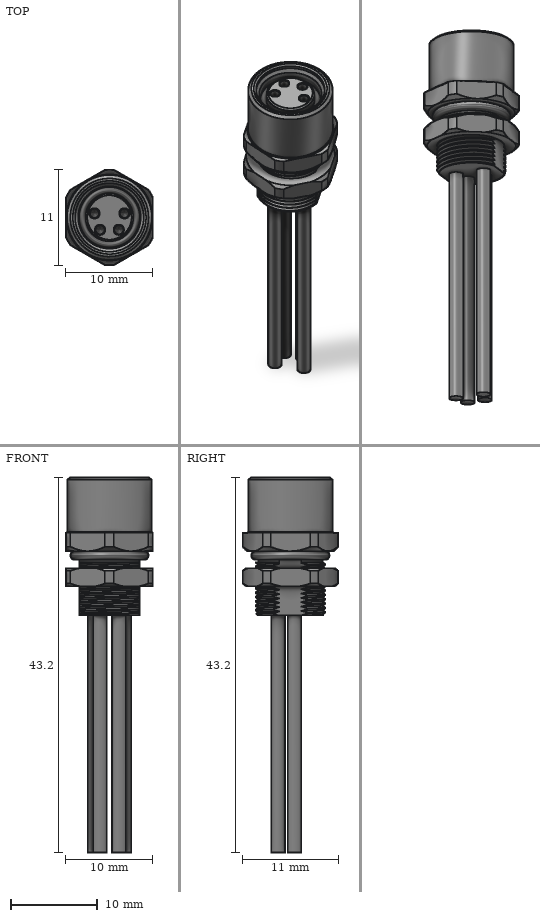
import cadquery as cq
import math


hex_across_flats = 10.0
hex_corner_diameter = 11.0
hex_height = 2.1
flange_end_radius = 5.0
flange_bevel_height = 0.5
nut_end_radius = 5.1
nut_bevel_height = 0.33
nut_top_z = -1.95

body_radius = 4.88
body_height = 6.4
overall_height = 43.2
top_z = hex_height + body_height
rim_outer_radius = 4.5
rim_bevel_height = 0.3
foot_radius = 4.97
foot_bevel_height = 0.12

mouth_radius = 4.22
bore_radius = 3.95
entry_bevel_depth = 0.15
bore_depth = 0.48
throat_radius = 3.6
throat_depth = 0.83
gland_radius = 3.5
gland_wall_depth = 1.25
gland_depth = 1.9

insert_radius = 2.75
insert_recess = 0.7
insert_bevel = 0.2
inner_seal_tube_radius = (gland_radius - insert_radius) / 2
inner_seal_radius = (gland_radius + insert_radius) / 2
contact_hole_radius = 0.52
contact_hole_bevel = 0.08
contact_hole_depth = 3.0
contact_hole_tip_angle = 118.0

panel_seal_tube_radius = 0.5
panel_seal_outer_radius = 4.5

thread_radius = 4.0
thread_pitch = 0.5
thread_depth = 0.3
thread_root_radius = thread_radius - thread_depth
groove_width = 0.42
groove_overshoot = 0.1
groove_arc_angle = 164
thread_bottom_z = -7.4
thread_end_bevel = 0.25
thread_flat_distance = 6.95
relief_height = 0.3
nut_bore_radius = 3.8

wire_radius = 0.8
wire_bottom_z = top_z - overall_height
wire_embedding = 1.0
contact_points = [(side * x, y) for x, y in ((1.72, 0.47), (1.08, -1.42)) for side in (-1, 1)]


def cylinder(radius, bottom_z, upper_z):
    return cq.Workplane("XY").workplane(offset=bottom_z).circle(radius).extrude(upper_z - bottom_z)


def revolve_profile(points):
    """Revolve a closed outline of (radius, z) points around the Z axis."""
    return cq.Workplane("XZ").polyline(points).close().revolve(360, (0, 0, 0), (0, 1, 0))


def seal_ring(ring_radius, tube_radius, z):
    profile = cq.Workplane("XZ").center(ring_radius, z).circle(tube_radius)
    return profile.revolve(360, (-ring_radius, 0, 0), (-ring_radius, 1, 0))


def hexagon(bottom_z, end_radius, bevel_height, bevel_top):
    """Hexagon with flats facing X, turned corners and turned end bevels."""
    corner_radius = hex_corner_diameter / 2
    upper_z = bottom_z + hex_height
    prism = (
        cq.Workplane("XY").workplane(offset=bottom_z)
        .polygon(6, hex_across_flats / math.cos(math.pi / 6))
        .extrude(hex_height)
        .rotate((0, 0, 0), (0, 0, 1), 30)
    )
    upper_edge = [(corner_radius, upper_z)]
    if bevel_top:
        upper_edge = [(corner_radius, upper_z - bevel_height), (end_radius, upper_z)]
    envelope = revolve_profile([
        (0, bottom_z),
        (end_radius, bottom_z),
        (corner_radius, bottom_z + bevel_height),
        *upper_edge,
        (0, upper_z),
    ])
    return prism.intersect(envelope)


def coupling_body():
    return revolve_profile([
        (0, 0),
        (foot_radius, 0),
        (foot_radius, hex_height),
        (body_radius, hex_height + foot_bevel_height),
        (body_radius, top_z - rim_bevel_height),
        (rim_outer_radius, top_z),
        (mouth_radius, top_z),
        (bore_radius, top_z - entry_bevel_depth),
        (bore_radius, top_z - bore_depth),
        (throat_radius, top_z - throat_depth),
        (gland_radius, top_z - gland_wall_depth),
        (gland_radius, top_z - gland_depth),
        (insert_radius, top_z - gland_depth),
        (insert_radius, top_z - insert_recess - insert_bevel),
        (insert_radius - insert_bevel, top_z - insert_recess),
        (0, top_z - insert_recess),
    ])


def contact_hole_tool():
    mouth_z = top_z - insert_recess
    shoulder_z = mouth_z - contact_hole_depth
    tip_length = contact_hole_radius / math.tan(math.radians(contact_hole_tip_angle / 2))
    return revolve_profile([
        (0, shoulder_z - tip_length),
        (contact_hole_radius, shoulder_z),
        (contact_hole_radius, mouth_z - contact_hole_bevel),
        (contact_hole_radius + contact_hole_bevel, mouth_z),
        (contact_hole_radius + contact_hole_bevel, top_z),
        (0, top_z),
    ])


def thread_groove_arc():
    """Stretch of the helical V groove that runs from one flat across to the other."""
    half_width = groove_width / 2 * (1 + groove_overshoot / thread_depth)
    helix = cq.Workplane(
        cq.Wire.makeHelix(thread_pitch, thread_pitch * groove_arc_angle / 360, thread_root_radius)
    )
    profile = cq.Workplane("XZ").polyline([
        (thread_root_radius, 0),
        (thread_radius + groove_overshoot, -half_width),
        (thread_radius + groove_overshoot, half_width),
    ])
    return profile.close().sweep(helix, isFrenet=True)


def threaded_stem():
    """Stem with a relief below the seal ring, two flats and the thread between them."""
    relief_bottom_z = -2 * panel_seal_tube_radius - relief_height
    stem = cylinder(thread_radius, thread_bottom_z, relief_bottom_z)
    stem = stem.faces("<Z").chamfer(thread_end_bevel)
    between_flats = cq.Workplane("XY").box(thread_flat_distance, 4 * thread_radius, -4 * thread_bottom_z)
    stem = stem.intersect(between_flats)

    groove_arc = thread_groove_arc()
    threaded_length = relief_bottom_z - thread_bottom_z
    half_turn_count = 2 * math.ceil(threaded_length / thread_pitch) + 3
    first_angle = 90 - groove_arc_angle / 2
    for half_turn in range(half_turn_count):
        start_z = thread_bottom_z - thread_pitch + half_turn * thread_pitch / 2
        groove = groove_arc.rotate((0, 0, 0), (0, 0, 1), first_angle + 180 * half_turn)
        stem = stem.cut(groove.translate((0, 0, start_z)))

    neck = cylinder(thread_root_radius, relief_bottom_z - thread_pitch / 2, 0)
    return stem.union(neck.intersect(between_flats))


def lock_nut():
    bottom_z = nut_top_z - hex_height
    nut = hexagon(bottom_z, nut_end_radius, nut_bevel_height, bevel_top=True)
    return nut.cut(cylinder(nut_bore_radius, bottom_z, nut_top_z))


def panel_seal():
    ring_radius = panel_seal_outer_radius - panel_seal_tube_radius
    ring = seal_ring(ring_radius, panel_seal_tube_radius, -panel_seal_tube_radius)
    return ring.union(cylinder(ring_radius, -2 * panel_seal_tube_radius, 0))


def lead_wires():
    length = thread_bottom_z + wire_embedding - wire_bottom_z
    return (
        cq.Workplane("XY").workplane(offset=wire_bottom_z)
        .pushPoints(contact_points)
        .circle(wire_radius)
        .extrude(length)
    )


result = coupling_body().union(hexagon(0, flange_end_radius, flange_bevel_height, bevel_top=False))
result = result.union(seal_ring(inner_seal_radius, inner_seal_tube_radius, top_z - gland_depth))
for x, y in contact_points:
    result = result.cut(contact_hole_tool().translate((x, y, 0)))
result = result.union(threaded_stem())
result = result.union(lock_nut())
result = result.union(panel_seal())
result = result.union(lead_wires())